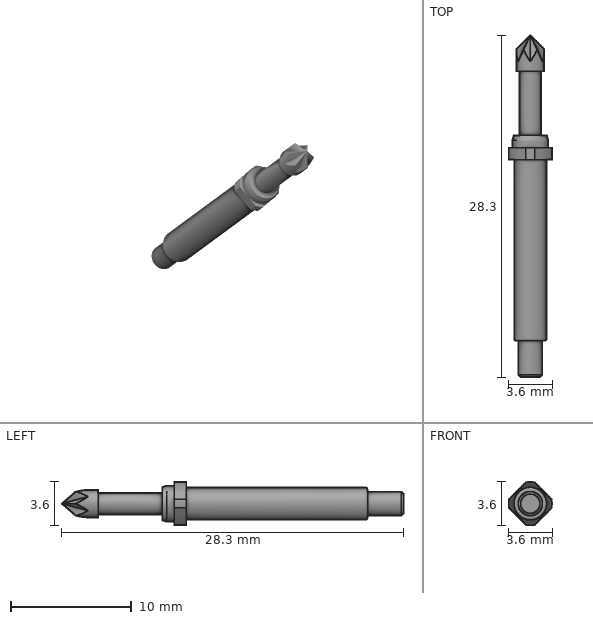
import math

import cadquery as cq


FLANGE_LENGTH = 1.0
COLLAR_LENGTH = 1.0
PLUNGER_TRAVEL = 5.3
HEAD_LENGTH = 3.0
BARREL_LENGTH = 15.0
TAIL_LENGTH = 3.0

COLLAR_FRONT_Y = FLANGE_LENGTH + COLLAR_LENGTH
HEAD_REAR_Y = COLLAR_FRONT_Y + PLUNGER_TRAVEL
TIP_Y = HEAD_REAR_Y + HEAD_LENGTH
BARREL_REAR_Y = -BARREL_LENGTH
TAIL_REAR_Y = BARREL_REAR_Y - TAIL_LENGTH

HEAD_DIAMETER = 2.3
PLUNGER_DIAMETER = 1.8
COLLAR_DIAMETER = 3.0
COLLAR_NOSE_DIAMETER = 2.75
BARREL_DIAMETER = 2.7
TAIL_DIAMETER = 2.0

FLANGE_DIAMETER = 3.6
FLANGE_ACROSS_FLATS = 3.0

COLLAR_NOSE_LENGTH = 0.4
BARREL_ROUND = 0.2
TAIL_CHAMFER = 0.2

RIDGE_COUNT = 6
RIDGE_ANGLE = 45.0
VALLEY_ANGLE = 28.0


def cylinder(diameter, rear_y, front_y):
    """Cylinder on the Y axis between two stations."""
    return (
        cq.Workplane("XZ", origin=(0, front_y, 0))
        .circle(diameter / 2)
        .extrude(front_y - rear_y)
    )


def star_pyramid(height):
    """Pyramid with its apex at the tip and a star-shaped base, ridges and valleys alternating."""
    base_y = TIP_Y - height
    apex = cq.Vector(0, TIP_Y, 0)
    half_step = math.pi / RIDGE_COUNT
    radii = [height * math.tan(math.radians(angle)) for angle in (RIDGE_ANGLE, VALLEY_ANGLE)]
    corners = []
    for index in range(2 * RIDGE_COUNT):
        radius = radii[index % 2]
        angle = index * half_step
        corners.append(cq.Vector(radius * math.cos(angle), base_y, radius * math.sin(angle)))

    faces = [cq.Face.makeFromWires(cq.Wire.makePolygon(corners, close=True))]
    for index, corner in enumerate(corners):
        previous = corners[index - 1]
        facet = cq.Wire.makePolygon([previous, corner, apex], close=True)
        faces.append(cq.Face.makeFromWires(facet))
    return cq.Workplane(cq.Solid.makeSolid(cq.Shell.makeShell(faces)))


def make_head():
    """Round plunger head sharpened to a star-shaped point."""
    blank = cylinder(HEAD_DIAMETER, HEAD_REAR_Y, TIP_Y)
    return blank.intersect(star_pyramid(HEAD_LENGTH))


def cone(rear_diameter, front_diameter, rear_y, front_y):
    """Truncated cone on the Y axis between two stations."""
    return cq.Workplane(
        cq.Solid.makeCone(
            rear_diameter / 2,
            front_diameter / 2,
            front_y - rear_y,
            pnt=cq.Vector(0, rear_y, 0),
            dir=cq.Vector(0, 1, 0),
        )
    )


def make_collar():
    """Collar in front of the flange with a tapered nose."""
    shoulder_y = COLLAR_FRONT_Y - COLLAR_NOSE_LENGTH
    nose = cone(COLLAR_DIAMETER, COLLAR_NOSE_DIAMETER, shoulder_y, COLLAR_FRONT_Y)
    return cylinder(COLLAR_DIAMETER, FLANGE_LENGTH, shoulder_y).union(nose)


def make_flange():
    """Square flange standing on its corner, with round corners."""
    square = (
        cq.Workplane("XZ", origin=(0, FLANGE_LENGTH, 0))
        .transformed(rotate=(0, 0, 45))
        .rect(FLANGE_ACROSS_FLATS, FLANGE_ACROSS_FLATS)
        .extrude(FLANGE_LENGTH)
    )
    return square.intersect(cylinder(FLANGE_DIAMETER, 0, FLANGE_LENGTH))


def make_barrel():
    """Main barrel with a rounded rear edge."""
    barrel = cylinder(BARREL_DIAMETER, BARREL_REAR_Y, 0)
    return barrel.faces("<Y").edges().fillet(BARREL_ROUND)


def make_tail():
    """Terminal pin at the rear with a chamfered end."""
    tail = cylinder(TAIL_DIAMETER, TAIL_REAR_Y, BARREL_REAR_Y)
    return tail.faces("<Y").edges().chamfer(TAIL_CHAMFER)


plunger = cylinder(PLUNGER_DIAMETER, COLLAR_FRONT_Y, HEAD_REAR_Y)

result = (
    make_barrel()
    .union(make_tail())
    .union(make_flange())
    .union(make_collar())
    .union(plunger)
    .union(make_head())
)